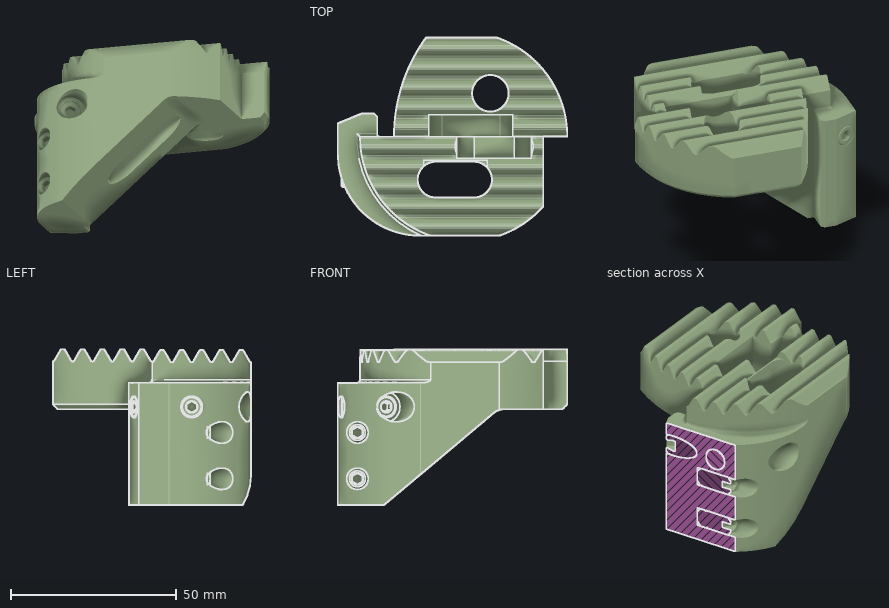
import cadquery as cq
import math

jaw_width = 30.0
grip_radius = 31.75
arm_underside_z = 29.0
clearance = 1.0

tooth_pitch = 6.0
tooth_angle = math.radians(60)
tooth_top_z = 47.25
front_tooth_drop = 0.25
crest_flat = 0.45
crest_radius = 0.55
root_radius = 0.5

front_center_x = 38.5
front_end_x = 62.25
base_height = 37.0
base_corner_radius = 25.0
base_foot_x = 14.0
slope_angle = math.radians(40)
slope_radius = 5.0
ledge_radius = 1.0

hook_end_x = 12.0
hook_end_y = 37.0
hook_face_drop = 3.0
hook_face_angle = 22.5
hook_chamfer = 1.0
hook_root_radius = 0.6

slot_width = 10.75
slot_length = 22.4
slot_center = (35.45, 17.0)
relief_length = 19.2
relief_width = 12.0
relief_center = (35.7, slot_center[1])
relief_z = 44.65

front_pocket_depth = 6.5
front_pocket_left_x = 36.1
front_pocket_right_x = 58.6
front_pocket_floor_z = 34.5
front_groove_radius = 2.6
front_flare_z = 43.4
front_flare = 0.6
back_pocket_depth = 6.65
back_pocket_left_x = 27.5
back_pocket_right_x = 53.0
back_pocket_floor_z = 31.7
back_pocket_radius = 4.0

back_center_x = 37.75
back_left_x = 17.0
back_left_radius = 51.0
back_chamfer = 1.5
bolt_hole_diameter = 11.0
bolt_hole_center = (46.2, 43.1)

screw_diameter = 6.5
socket_flats = 3.0
socket_mouth_diameter = 3.6
socket_depth = 3.0
upper_screw_z = 29.75
long_screw_length = 29.0
long_screw_chamfer = 0.4
access_hole_diameter = 9.0
lower_screw_x = 6.0
lower_screw_zs = (8.0, 22.0)
lower_screw_face_y = 12.4
lower_screw_length = 12.0
lower_screw_chamfer = 0.85
side_screw_y = 18.0
side_screw_face_x = 1.1
side_screw_length = 5.0
side_screw_chamfer = 0.4

seam_y = jaw_width
back_end_y = 2 * jaw_width
teeth_per_jaw = round(jaw_width / tooth_pitch)
hook_face_start_y = hook_end_y - hook_face_drop
hook_face_end_x = hook_face_drop / math.tan(math.radians(hook_face_angle))
above_z = tooth_top_z + clearance
hole_runout = base_corner_radius

long_heading = hook_face_angle - 90
long_start = (hook_face_end_x / 2, hook_end_y - hook_face_drop / 2, upper_screw_z)
long_end = (
    long_start[0] + long_screw_length * math.cos(math.radians(long_heading)),
    long_start[1] + long_screw_length * math.sin(math.radians(long_heading)),
    upper_screw_z,
)
lower_starts = [(lower_screw_x, lower_screw_face_y, z) for z in lower_screw_zs]
lower_heading = 90
side_start = (side_screw_face_x, side_screw_y, upper_screw_z)
side_heading = 0


def half_chord(distance, radius=grip_radius):
    """Half the chord of a circle at a distance from its center."""
    return math.sqrt(radius ** 2 - distance ** 2)


def box(x0, x1, y0, y1, z0, z1):
    return cq.Workplane("XY", origin=(x0, y0, z0)).box(x1 - x0, y1 - y0, z1 - z0, centered=False)


def nearest_edge(x, y, z):
    return cq.selectors.NearestToPointSelector((x, y, z))


def aim(shape, start, heading):
    """Move a shape built along +Z to a start point and a horizontal heading."""
    return shape.rotate((0, 0, 0), (0, 1, 0), 90).rotate((0, 0, 0), (0, 0, 1), heading).translate(start)


def bore(diameter, length):
    return cq.Workplane("XY").circle(diameter / 2).extrude(length)


def tooth_gap(root_y, top_z):
    """Gap between two crests, with a rounded root and rounded crest edges."""
    half_pitch = tooth_pitch / 2
    half_crest = crest_flat / 2 + crest_radius * math.tan(tooth_angle / 2)
    half_gap = half_pitch - half_crest
    root_z = top_z - half_gap * math.tan(tooth_angle)
    length = back_center_x + grip_radius + clearance
    gap = (
        cq.Workplane("YZ")
        .moveTo(root_y - half_pitch, top_z)
        .lineTo(root_y - half_gap, top_z)
        .lineTo(root_y, root_z)
        .lineTo(root_y + half_gap, top_z)
        .lineTo(root_y + half_pitch, top_z)
        .lineTo(root_y + half_pitch, above_z)
        .lineTo(root_y - half_pitch, above_z)
        .close()
        .extrude(length)
    )
    gap = gap.edges(nearest_edge(length / 2, root_y, root_z)).fillet(root_radius)
    for crest_y in (root_y - half_gap, root_y + half_gap):
        gap = gap.edges(nearest_edge(length / 2, crest_y, top_z)).fillet(crest_radius)
    return gap


def cut_teeth(jaw, start_y, top_z):
    for index in range(teeth_per_jaw + 1):
        jaw = jaw.cut(tooth_gap(start_y + index * tooth_pitch, top_z))
    return jaw


def front_base():
    """Full-height foot with the hook, before the underside is sloped away."""
    corner = base_corner_radius
    corner_middle = corner * (1 - math.sqrt(0.5))
    end_dx = front_end_x - front_center_x
    middle_dx = (half_chord(seam_y) + end_dx) / 2
    outline = (
        cq.Workplane("XY")
        .moveTo(corner, 0)
        .lineTo(front_center_x + half_chord(seam_y), 0)
        .threePointArc(
            (front_center_x + middle_dx, seam_y - half_chord(middle_dx)),
            (front_end_x, seam_y - half_chord(end_dx)),
        )
        .lineTo(front_end_x, seam_y)
        .lineTo(hook_end_x, seam_y)
        .lineTo(hook_end_x, hook_end_y - hook_chamfer)
        .lineTo(hook_end_x - hook_chamfer, hook_end_y)
        .lineTo(hook_face_end_x, hook_end_y)
        .lineTo(0, hook_face_start_y)
        .lineTo(0, corner)
        .threePointArc((corner_middle, corner_middle), (corner, 0))
        .close()
    )
    base = outline.extrude(base_height)
    return base.edges(nearest_edge(hook_end_x, seam_y, base_height / 2)).fillet(hook_root_radius)


def front_block():
    """Round block above the foot that carries the teeth."""
    block = cq.Workplane("XY").center(front_center_x, seam_y).circle(grip_radius).extrude(tooth_top_z)
    return block.intersect(box(0, front_end_x, 0, seam_y, base_height, tooth_top_z))


def fillet_ledge(jaw):
    """Fillet where the tooth block rises from the top of the foot."""
    block_left_x = front_center_x - grip_radius
    arc_middle_y = seam_y / 2
    arc_edge = nearest_edge(front_center_x - half_chord(seam_y - arc_middle_y), arc_middle_y, base_height)
    seam_edge = nearest_edge((block_left_x + hook_end_x) / 2, seam_y, base_height)
    return jaw.edges(arc_edge + seam_edge).fillet(ledge_radius)


def underside_cut():
    corner_x = base_foot_x + arm_underside_z / math.tan(slope_angle)
    far_x = front_end_x + clearance
    cut = (
        cq.Workplane("XZ")
        .moveTo(base_foot_x, 0)
        .lineTo(corner_x, arm_underside_z)
        .lineTo(far_x, arm_underside_z)
        .lineTo(far_x, 0)
        .close()
        .extrude(-hook_end_y)
    )
    return cut.edges(nearest_edge(corner_x, hook_end_y / 2, arm_underside_z)).fillet(slope_radius)


def front_pocket():
    """Pocket with a round groove along each side of its floor and flared upper walls."""
    left = front_pocket_left_x
    right = front_pocket_right_x
    radius = front_groove_radius
    floor = front_pocket_floor_z
    profile = (
        cq.Workplane("XZ", origin=(0, seam_y, 0))
        .moveTo(left, floor)
        .threePointArc((left + radius, floor - radius), (left + 2 * radius, floor))
        .lineTo(right - 2 * radius, floor)
        .threePointArc((right - radius, floor - radius), (right, floor))
        .lineTo(right, front_flare_z)
        .lineTo(right + front_flare, tooth_top_z)
        .lineTo(left - front_flare, tooth_top_z)
        .lineTo(left, front_flare_z)
        .close()
    )
    return profile.extrude(front_pocket_depth)


def bolt_slot():
    return cq.Workplane("XY").center(*slot_center).slot2D(slot_length, slot_width).extrude(above_z)


def slot_relief():
    plane = cq.Workplane("XY", origin=(*relief_center, relief_z))
    return plane.rect(relief_length, relief_width).extrude(above_z - relief_z)


def cut_screw_holes(jaw):
    jaw = jaw.cut(aim(bore(screw_diameter, long_screw_length), long_start, long_heading))
    jaw = jaw.cut(aim(bore(access_hole_diameter, hole_runout), long_end, long_heading))
    short_holes = [(start, lower_heading, lower_screw_length) for start in lower_starts]
    short_holes.append((side_start, side_heading, side_screw_length))
    for start, heading, length in short_holes:
        jaw = jaw.cut(aim(bore(screw_diameter, length), start, heading))
        jaw = jaw.cut(aim(bore(screw_diameter, hole_runout), start, heading + 180))
    return jaw


def make_front_jaw():
    jaw = fillet_ledge(front_base().union(front_block()))
    jaw = jaw.cut(underside_cut())
    jaw = cut_teeth(jaw, 0, tooth_top_z - front_tooth_drop)
    jaw = jaw.cut(front_pocket()).cut(bolt_slot()).cut(slot_relief())
    return cut_screw_holes(jaw)


def back_body():
    half = jaw_width / 2
    left_center_x = back_left_x + back_left_radius
    outline = (
        cq.Workplane("XY", origin=(0, 0, arm_underside_z))
        .moveTo(back_left_x, seam_y)
        .lineTo(back_center_x + grip_radius, seam_y)
        .threePointArc(
            (back_center_x + half_chord(half), seam_y + half),
            (back_center_x + half_chord(jaw_width), back_end_y),
        )
        .lineTo(left_center_x - half_chord(jaw_width, back_left_radius), back_end_y)
        .threePointArc(
            (left_center_x - half_chord(half, back_left_radius), seam_y + half),
            (back_left_x, seam_y),
        )
        .close()
    )
    body = outline.extrude(tooth_top_z - arm_underside_z)
    return body.faces("<Z").edges("not(<Y)").chamfer(back_chamfer)


def back_pocket():
    pocket = box(
        back_pocket_left_x, back_pocket_right_x,
        seam_y, seam_y + back_pocket_depth,
        back_pocket_floor_z, above_z,
    )
    return pocket.faces("<Z").edges("|Y").fillet(back_pocket_radius)


def bolt_hole():
    return bore(bolt_hole_diameter, above_z).translate((*bolt_hole_center, 0))


def make_back_jaw():
    jaw = cut_teeth(back_body(), seam_y, tooth_top_z)
    return jaw.cut(back_pocket()).cut(bolt_hole())


def screw_socket():
    """Hexagon socket with a countersunk mouth, going up from the origin."""
    mouth_radius = socket_mouth_diameter / 2
    hexagon = cq.Workplane("XY").polygon(6, socket_flats / math.cos(math.pi / 6)).extrude(socket_depth)
    return hexagon.union(cq.Workplane(cq.Solid.makeCone(mouth_radius, 0, mouth_radius)))


def set_screw(length, chamfer, double_ended=False):
    """Set screw along +Z from its driven face at the origin."""
    body = bore(screw_diameter, length).faces("<Z or >Z").chamfer(chamfer)
    body = body.cut(screw_socket())
    if double_ended:
        body = body.cut(screw_socket().mirror("XY").translate((0, 0, length)))
    return body


front_jaw = make_front_jaw()
back_jaw = make_back_jaw()
long_screw = aim(set_screw(long_screw_length, long_screw_chamfer, True), long_start, long_heading)
side_screw = aim(set_screw(side_screw_length, side_screw_chamfer), side_start, side_heading)
lower_screws = []
for lower_start in lower_starts:
    lower_screw = aim(set_screw(lower_screw_length, lower_screw_chamfer), lower_start, lower_heading)
    lower_screws.append(lower_screw.val())

result = cq.Compound.makeCompound(
    [front_jaw.val(), back_jaw.val(), long_screw.val(), side_screw.val(), *lower_screws]
)